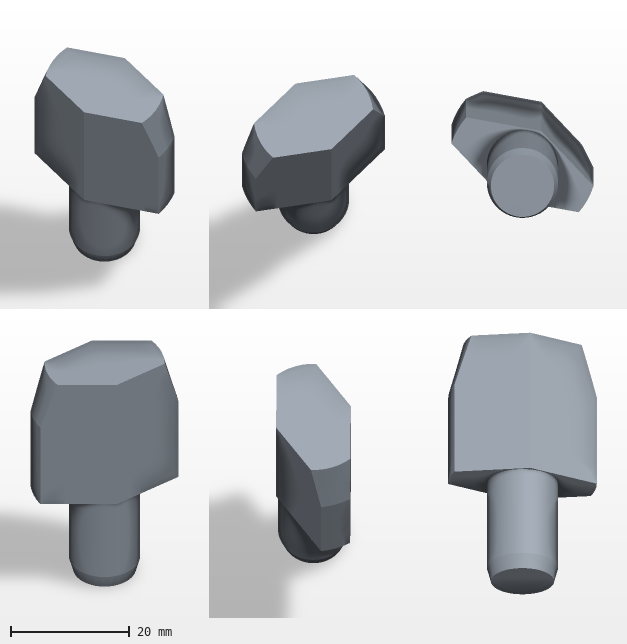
import cadquery as cq
import math

head_diameter = 25.0
head_height = 25.0
head_thickness = 13.23
flank_angle = 18.3

taper_angle = 15.0
taper_height = 9.0

shank_diameter = 12.0
shank_length = 18.0
tip_height = 2.5

taper_slope = math.tan(math.radians(taper_angle))


def tapered_round(diameter, length, taper_length):
    """Cylinder rising from Z = 0 with a conical taper at its upper end."""
    radius = diameter / 2
    end_radius = radius - taper_length * taper_slope
    profile = [
        (0, 0),
        (radius, 0),
        (radius, length - taper_length),
        (end_radius, length),
        (0, length),
    ]
    return cq.Workplane("XZ").polyline(profile).close().revolve(360, (0, 0), (0, 1))


def make_head():
    """Diamond prism trimmed by the tapered round; its underside is at Z = 0."""
    half_thickness = head_thickness / 2
    half_length = half_thickness / math.tan(math.radians(flank_angle))
    diamond = (
        cq.Workplane("XY")
        .polyline([(half_length, 0), (0, half_thickness), (-half_length, 0), (0, -half_thickness)])
        .close()
        .extrude(head_height)
    )
    return diamond.intersect(tapered_round(head_diameter, head_height, taper_height))


def make_shank():
    """Round shank hanging below Z = 0 with its tapered tip at the bottom."""
    return tapered_round(shank_diameter, shank_length, tip_height).rotate((0, 0, 0), (1, 0, 0), 180)


result = make_head().union(make_shank())